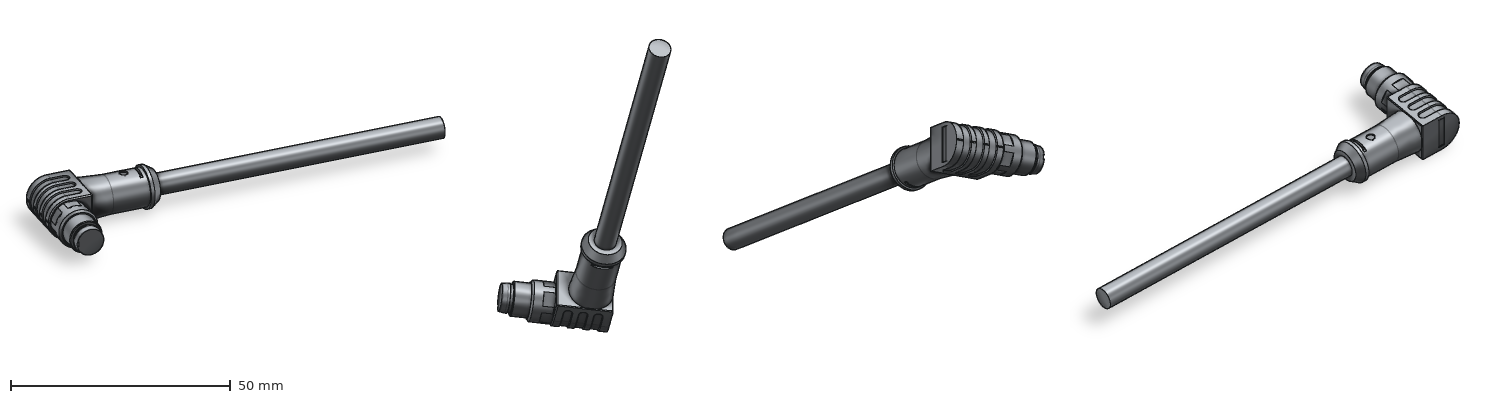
import cadquery as cq
import math

overall_length = 100.3

housing_length = 13.0
housing_diameter = 10.3
housing_radius = housing_diameter / 2
housing_back = 5.7
housing_chamfer = 0.3
edge_chamfer = 0.2
grip_count = 3
grip_pitch = 3.5
grip_first = housing_length / 2 - grip_pitch * (grip_count - 1) / 2
grip_depth = 0.3
grip_floor_width = 1.8
grip_mouth_width = 2.2
grip_end = 4.2
parting_width = 0.3
parting_depth = 0.1
label_width = 1.7
label_height = 8.3
label_depth = 0.3

cable_diameter = 5.1
cable_end = overall_length - housing_radius
sleeve_diameter = 9.3
sleeve_x = housing_radius
sleeve_straight = 12.2
flange_start = 21.4
flange_end = 22.3
sleeve_end = 24.2
sleeve_end_diameter = 7.8
slit_y = 20.2
slit_width = 0.6
slit_chord = 5.0
dimple_diameter = 2.0
dimple_y = 16.6
dimple_depth = 0.4

collar_diameter = 9.6
collar_end = 18.6
collar_chamfer = 0.5
collar_relief = 0.2
flat_end = 15.8
flat_count = 6
flat_apothem = 4.5
barrel_diameter = 8.0
barrel_end = 22.6
barrel_chamfer = 0.2
tip_diameter = 6.5
tip_end = 25.2
ring_diameter = 6.9
ring_start = 23.3
ring_crest_end = 23.9
ring_end = 25.0
key_width = 1.0
key_depth = 0.4


def x_cylinder(start, end, diameter):
    """Solid cylinder on the plug axis between two X positions."""
    return cq.Workplane("YZ").workplane(offset=start).circle(diameter / 2).extrude(end - start)


def grip_groove(x):
    """Shallow groove with sloped walls, half around the front and round-ended on the Z faces."""
    floor_radius = housing_radius - grip_depth
    half_mouth = grip_mouth_width / 2
    half_floor = grip_floor_width / 2
    groove = (
        cq.Workplane("XY")
        .polyline([
            (x - half_mouth, -housing_radius),
            (x - half_mouth, -housing_diameter),
            (x + half_mouth, -housing_diameter),
            (x + half_mouth, -housing_radius),
            (x + half_floor, -floor_radius),
            (x - half_floor, -floor_radius),
        ])
        .close()
        .revolve(360, (0, 0, 0), (1, 0, 0))
        .intersect(
            cq.Workplane("XY").box(2 * housing_length, housing_diameter, 2 * housing_diameter)
            .translate((0, -housing_radius, 0))
        )
    )
    wall_angle = math.degrees(math.atan((half_mouth - half_floor) / grip_depth))
    leg = (
        cq.Workplane("XY", origin=(x, 0, housing_radius))
        .slot2D(2 * grip_end, grip_mouth_width, 90)
        .extrude(-grip_depth, taper=wall_angle)
        .intersect(
            cq.Workplane("XY", origin=(x, 0, 0))
            .box(grip_mouth_width, grip_end, housing_diameter, centered=(True, False, False))
        )
    )
    return groove.union(leg).union(leg.mirror("XY"))


def make_housing():
    """D-shaped bar along X: half round at the front, flat towards +Y."""
    housing = (
        cq.Workplane("YZ")
        .moveTo(housing_back, -housing_radius)
        .lineTo(0, -housing_radius)
        .threePointArc((-housing_radius, 0), (0, housing_radius))
        .lineTo(housing_back, housing_radius)
        .close()
        .extrude(housing_length)
    )
    housing = housing.faces(">X").chamfer(housing_chamfer)
    housing = housing.faces(">Y").edges("|X or <X").chamfer(edge_chamfer)
    for index in range(grip_count):
        housing = housing.cut(grip_groove(grip_first + index * grip_pitch))
    parting_groove = (
        cq.Workplane("XY", origin=(0, -housing_radius, 0))
        .box(housing_length, 2 * parting_depth, parting_width, centered=(False, True, True))
    )
    label = cq.Workplane("YZ").rect(label_width, label_height).extrude(label_depth)
    return housing.cut(parting_groove).cut(label)


def make_sleeve():
    """Cable and sleeve as one turned body about the cable axis."""
    radius = sleeve_diameter / 2
    turned = (
        cq.Workplane("XY", origin=(sleeve_x, 0, 0))
        .moveTo(0, housing_back)
        .lineTo(housing_radius, housing_back)
        .lineTo(radius, sleeve_straight)
        .lineTo(radius, flange_start)
        .lineTo(housing_radius, flange_start)
        .lineTo(housing_radius, flange_end)
        .lineTo(sleeve_end_diameter / 2, sleeve_end)
        .lineTo(cable_diameter / 2, sleeve_end)
        .lineTo(cable_diameter / 2, cable_end)
        .lineTo(0, cable_end)
        .close()
        .revolve(360, (0, 0, 0), (0, 1, 0))
    )
    slit_floor = math.sqrt(radius**2 - (slit_chord / 2) ** 2)
    slit = (
        cq.Workplane("XY", origin=(sleeve_x, slit_y, slit_floor))
        .rect(sleeve_diameter, slit_width)
        .extrude(radius)
    )
    dimple = (
        cq.Workplane("XY", origin=(sleeve_x, dimple_y, radius - dimple_depth))
        .circle(dimple_diameter / 2)
        .extrude(radius)
    )
    return turned.cut(slit).cut(slit.mirror("XY")).cut(dimple)


def make_collar():
    """Round collar with six wrench flats next to the housing."""
    collar = x_cylinder(housing_length, collar_end, collar_diameter)
    collar = collar.faces(">X").chamfer(collar_chamfer)
    collar = collar.faces("<X").chamfer(collar_relief)
    flat = (
        cq.Workplane("XY", origin=(0, 0, flat_apothem))
        .box(flat_end, collar_diameter, collar_diameter, centered=(False, True, False))
    )
    for index in range(flat_count):
        collar = collar.cut(flat.rotate((0, 0, 0), (1, 0, 0), index * 360 / flat_count))
    return collar


def make_tip():
    """Keyed tip with a snap ring that bridges the keyway."""
    keyway = (
        cq.Workplane("XY", origin=(barrel_end, -tip_diameter / 2, 0))
        .box(tip_end - barrel_end, 2 * key_depth, key_width, centered=(False, True, True))
    )
    ring = (
        cq.Workplane("XY")
        .moveTo(ring_start, 0)
        .lineTo(ring_start, ring_diameter / 2)
        .lineTo(ring_crest_end, ring_diameter / 2)
        .lineTo(ring_end, tip_diameter / 2)
        .lineTo(ring_end, 0)
        .close()
        .revolve(360, (0, 0, 0), (1, 0, 0))
    )
    return x_cylinder(collar_end, tip_end, tip_diameter).cut(keyway).union(ring)


barrel = x_cylinder(collar_end, barrel_end, barrel_diameter).faces(">X").chamfer(barrel_chamfer)
plug = make_collar().union(barrel).union(make_tip())
result = make_housing().union(make_sleeve()).union(plug)